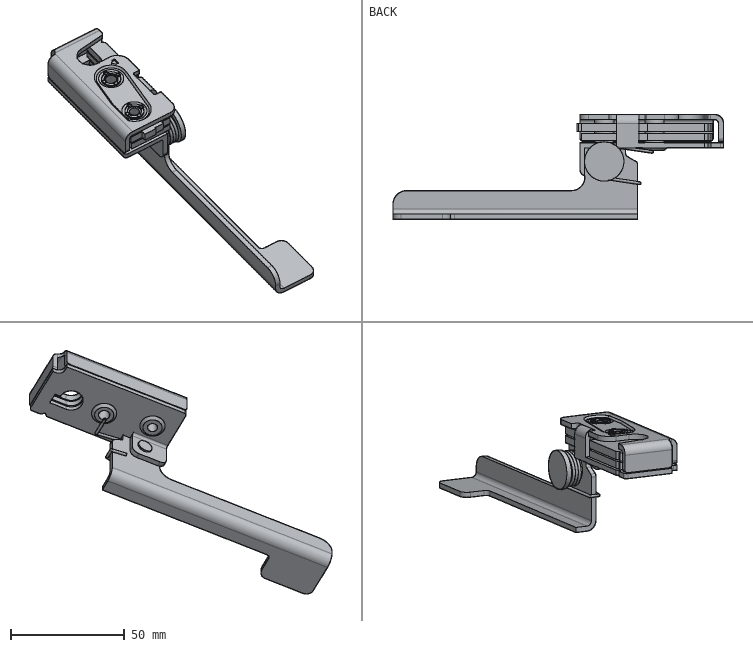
import cadquery as cq
import math


SHEET = 2.3
BEND_OUT = 4.0
BEND_IN = BEND_OUT - SHEET

TOTAL_LENGTH = 146.1
TOTAL_DEPTH = 45.0
TOTAL_HEIGHT = 46.3

BODY_LENGTH = 63.5
BODY_DEPTH = 28.5
WALL_BOTTOM_Z = 34.3
FRONT_WALL_CORNER = 1.8
LEFT_WALL_CORNER = 1.2
REAR_CORNER = 4.0
RELIEF_X = 4.5
RELIEF_Y = 5.0
BASE_RELIEF_ROUND = 3.0
COVER_RELIEF_ROUND = RELIEF_X - SHEET

BASE_BOTTOM_Z = 31.5
BASE_TOP_Z = BASE_BOTTOM_Z + SHEET
BASE_CORNER = 1.3

MOUTH_X = 14.3
MOUTH_Y = 15.8
COVER_MOUTH_R = 11.4 / 2
PLATE_MOUTH_R = 10.5 / 2
MOUTH_ROUND = 6.1
MOUTH_LIP_ROUND = 1.3
MOUTH_REAR_X = 7.0
PLATE_MOUTH_LEFT = 6.5
REAR_NOTCH_WIDTH = 2.9
REAR_NOTCH_DEPTH = 1.3

TAB_X0 = 37.4
TAB_X1 = 47.3
TAB_SLOT = 3.2
TAB_SLOT_DEPTH = 3.5
TAB_SLOT_ROUND = 0.7

RIVETS = [(30.5, 15.8, 5.0), (52.7, 12.5, 4.4)]
RIVET_COLLAR_D = 8.5
RIVET_SINK_D = 11.1
RIVET_BELOW = 1.2
BORE_MOUTH_D = 6.1
BORE_MOUTH_DEPTH = 0.6
STAKE_WIDTH = 1.6
STAKE_RADIUS = 3.8
STAKE_HEIGHT = 0.5

RECESS_R = 7.5
RECESS_DEPTH = 0.9
RECESS_FRONT_Y = 6.3
RECESS_TAPER = 45
MARK_X = 23.7
MARK_Y = 22.2
MARK_WIDTH = 2.9
MARK_LENGTH = 2.6

LOCK_LEFT = 4.8
LOCK_RIGHT = 62.8
LOCK_NARROW_REAR = 24.8
LOCK_STEP_X = 33.6
UPPER_LOCK_Z = 38.7
UPPER_LOCK_T = 3.7
UPPER_LOCK_FRONT = 3.7
LOWER_LOCK_Z = 34.8
LOWER_LOCK_T = 3.2
LOWER_LOCK_FRONT = 4.0
TRIGGER_NOSES = [(64.9, 9.6, 15.6), (64.1, 15.6, 20.3)]

LEVER_LEFT = 38.0
LEVER_FRONT = 22.8
LEVER_REAR = LEVER_FRONT + SHEET
LEVER_BEND_OUT = 4.5
LEVER_BEND_IN = LEVER_BEND_OUT - SHEET
FLANGE_REAR = 32.9
PAD_LEFT = 120.7
PAD_ROUND = 3.5
PAD_INNER_ROUND = 1.9
ARM_TOP_Z = 12.7
ARM_END_ROUND = 6.1
NECK_RIGHT = 61.4
NECK_ROUND = 5.8
SHOULDER_Z = 25.1
SHOULDER_ROUND = 1.5
HEAD_LEFT = 43.2
HEAD_BOTTOM_Z = 28.2

EAR_LEFT = 46.8
EAR_FRONT = LEVER_FRONT - SHEET
EAR_BOTTOM_Z = 19.0
EAR_ROUND = 3.2
EAR_BEND_IN = 1.2

PIVOT_X = 52.7
PIVOT_Z = 25.5
PIN_D = 6.6
PIN_FRONT = 19.7
SPOOL_D = 12.7
SPOOL_FLANGE_D = 17.4
SPOOL_FLANGE_FRONT = 31.9
SPOOL_END = 34.2

WIRE_D = 1.3
COIL_R = 7.3
COIL_PITCH = 1.5
COIL_TURNS = 3.5
COIL_START_Y = 25.9
UPPER_LEG_END_X = 31.7
UPPER_LEG_END_Z = 29.8
UPPER_LEG_END_Y = 17.1
LOWER_HOOK_X = 37.1
LOWER_HOOK_Z = 15.9
LOWER_HOOK_REAR_Y = 26.3
LOWER_TIP_X = 44.4
LOWER_TIP_Y = 22.0
LOWER_TIP_Z = 17.0


def box(x0, x1, y0, y1, z0, z1):
    """Axis-aligned box between two opposite corners."""
    return cq.Workplane("XY").box(x1 - x0, y1 - y0, z1 - z0, centered=False).translate((x0, y0, z0))


def nearest(point):
    """Selector for the edge closest to a point."""
    return cq.selectors.NearestToPointSelector(point)


def rod(start, end, diameter):
    """Round rod between two points."""
    a = cq.Vector(*start)
    span = cq.Vector(*end) - a
    return cq.Workplane(obj=cq.Solid.makeCylinder(diameter / 2, span.Length, a, span))


def along_y(diameter, y0, y1):
    """Cylinder on the pivot axis."""
    return rod((PIVOT_X, y0, PIVOT_Z), (PIVOT_X, y1, PIVOT_Z), diameter)


def corner_relief(inner_round):
    """Cutter that opens the left front corner through the full body height."""
    cutter = box(0, RELIEF_X, 0, RELIEF_Y, BASE_BOTTOM_Z, TOTAL_HEIGHT)
    return cutter.edges("|Z and >X and >Y").fillet(inner_round)


def cover_mouth():
    """Cutter for the striker mouth in the cover, open to the rear."""
    dx = MOUTH_REAR_X - MOUTH_X
    dy = BODY_DEPTH - MOUTH_Y
    angle = math.atan2(dy, dx) + math.acos(COVER_MOUTH_R / math.hypot(dx, dy))
    tangent = (MOUTH_X + COVER_MOUTH_R * math.cos(angle), MOUTH_Y + COVER_MOUTH_R * math.sin(angle))
    right = MOUTH_X + COVER_MOUTH_R
    round_x = right + MOUTH_ROUND
    round_y = BODY_DEPTH - MOUTH_ROUND
    diagonal = MOUTH_ROUND * math.sqrt(0.5)
    lip_inset = MOUTH_LIP_ROUND * (1 - math.sqrt(0.5))
    return (
        cq.Workplane("XY", origin=(0, 0, TOTAL_HEIGHT - 2 * SHEET))
        .moveTo(MOUTH_REAR_X - MOUTH_LIP_ROUND, BODY_DEPTH)
        .threePointArc(
            (MOUTH_REAR_X - lip_inset, BODY_DEPTH - lip_inset),
            (MOUTH_REAR_X, BODY_DEPTH - MOUTH_LIP_ROUND),
        )
        .lineTo(*tangent)
        .threePointArc((MOUTH_X, MOUTH_Y - COVER_MOUTH_R), (right, MOUTH_Y))
        .lineTo(right, round_y)
        .threePointArc((round_x - diagonal, round_y + diagonal), (round_x, BODY_DEPTH))
        .close()
        .extrude(3 * SHEET)
    )


def plate_mouth():
    """Cutter for the striker mouth in the base and locking plates."""
    height = TOTAL_HEIGHT - BASE_BOTTOM_Z
    circle = cq.Workplane("XY", origin=(MOUTH_X, MOUTH_Y, BASE_BOTTOM_Z)).circle(PLATE_MOUTH_R).extrude(height)
    side = box(PLATE_MOUTH_LEFT, MOUTH_X, MOUTH_Y, MOUTH_Y + PLATE_MOUTH_R, BASE_BOTTOM_Z, TOTAL_HEIGHT)
    return circle.union(side)


def rear_notch():
    """V-shaped cutter in the rear edge of the plates, below the lip of the mouth."""
    return (
        cq.Workplane("XY", origin=(0, 0, BASE_BOTTOM_Z))
        .polyline([
            (MOUTH_REAR_X - REAR_NOTCH_WIDTH / 2, BODY_DEPTH),
            (MOUTH_REAR_X, BODY_DEPTH - REAR_NOTCH_DEPTH),
            (MOUTH_REAR_X + REAR_NOTCH_WIDTH / 2, BODY_DEPTH),
        ])
        .close()
        .extrude(TOTAL_HEIGHT - SHEET - BASE_BOTTOM_Z)
    )


def recess():
    """Tapered pressed recess: a belt around both rivets with a flat front edge."""
    (x0, y0, _), (x1, y1, _) = RIVETS
    tilt = math.atan2(y1 - y0, x1 - x0)
    nx = -RECESS_R * math.sin(tilt)
    ny = RECESS_R * math.cos(tilt)
    reach = math.sqrt(RECESS_R**2 - (y1 - RECESS_FRONT_Y) ** 2)
    flat_x = x0 - nx + (RECESS_FRONT_Y - y0 + ny) / math.tan(tilt)
    return (
        cq.Workplane("XY", origin=(0, 0, TOTAL_HEIGHT))
        .moveTo(x0 + nx, y0 + ny)
        .lineTo(x1 + nx, y1 + ny)
        .threePointArc((x1 + RECESS_R, y1), (x1 + reach, RECESS_FRONT_Y))
        .lineTo(flat_x, RECESS_FRONT_Y)
        .lineTo(x0 - nx, y0 - ny)
        .threePointArc((x0 - RECESS_R, y0), (x0 + nx, y0 + ny))
        .close()
        .extrude(-RECESS_DEPTH, taper=RECESS_TAPER)
    )


def pointer_mark():
    """Small arrow-shaped pocket next to the recess."""
    half = MARK_WIDTH / 2
    return (
        cq.Workplane("XY", origin=(MARK_X, MARK_Y, TOTAL_HEIGHT))
        .polyline([
            (-half, MARK_LENGTH / 2),
            (half, MARK_LENGTH / 2),
            (half, 0),
            (0, -MARK_LENGTH / 2),
            (-half, 0),
        ])
        .close()
        .extrude(-RECESS_DEPTH)
    )


def make_cover():
    """Folded cover with left wall, front wall and rear tab."""
    shell = box(0, BODY_LENGTH, 0, BODY_DEPTH, WALL_BOTTOM_Z, TOTAL_HEIGHT)
    shell = shell.edges(">Z and (<X or <Y)").fillet(BEND_OUT)
    cavity = box(
        SHEET, BODY_LENGTH + BEND_OUT, SHEET, BODY_DEPTH + BEND_OUT, BASE_BOTTOM_Z, TOTAL_HEIGHT - SHEET
    )
    cavity = cavity.edges(">Z and (<X or <Y)").fillet(BEND_IN)
    cover = shell.cut(cavity).cut(corner_relief(COVER_RELIEF_ROUND))

    low = WALL_BOTTOM_Z - SHEET
    high = WALL_BOTTOM_Z + SHEET
    front_wall = cq.selectors.BoxSelector((0, 0, low), (2 * BODY_LENGTH, SHEET, high))
    left_wall = cq.selectors.BoxSelector((0, 0, low), (SHEET, 2 * BODY_DEPTH, high))
    cover = cover.edges("|Y").edges(front_wall).fillet(FRONT_WALL_CORNER)
    cover = cover.edges("|X").edges(left_wall).fillet(LEFT_WALL_CORNER)
    cover = cover.edges("|Z and >X and >Y").fillet(REAR_CORNER)

    cover = cover.cut(cover_mouth())
    slots = box(
        TAB_X0 - TAB_SLOT, TAB_X1 + TAB_SLOT, BODY_DEPTH - TAB_SLOT_DEPTH, BODY_DEPTH,
        BASE_TOP_Z, TOTAL_HEIGHT,
    )
    cover = cover.cut(slots.edges("|Z and <Y").fillet(TAB_SLOT_ROUND))
    return cover.union(make_rear_tab()).cut(recess()).cut(pointer_mark())


def make_rear_tab():
    """Strip of the cover folded down at the rear edge, reaching the base plate."""
    front = BODY_DEPTH - 2 * BEND_OUT
    tab = box(TAB_X0, TAB_X1, front, BODY_DEPTH, BASE_BOTTOM_Z, TOTAL_HEIGHT)
    tab = tab.edges("|X and >Z and >Y").fillet(BEND_OUT)
    inside = box(TAB_X0, TAB_X1, front, BODY_DEPTH - SHEET, BASE_BOTTOM_Z, TOTAL_HEIGHT - SHEET)
    return tab.cut(inside.edges("|X and >Z and >Y").fillet(BEND_IN))


def make_base():
    """Base plate with a hinge ear folded down in front of the lever."""
    base = box(0, BODY_LENGTH, 0, BODY_DEPTH, BASE_BOTTOM_Z, BASE_TOP_Z)
    base = base.edges("|Z and ((>X and <Y) or (<X and >Y))").fillet(BASE_CORNER)
    base = base.cut(corner_relief(BASE_RELIEF_ROUND)).cut(plate_mouth()).cut(rear_notch())
    base = base.cut(box(HEAD_LEFT, BODY_LENGTH, LEVER_FRONT, BODY_DEPTH, BASE_BOTTOM_Z, BASE_TOP_Z))

    ear = box(EAR_LEFT, BODY_LENGTH, EAR_FRONT, LEVER_FRONT, EAR_BOTTOM_Z, BASE_TOP_Z)
    ear = ear.edges("|Y and <Z").fillet(EAR_ROUND)
    gusset_y = EAR_FRONT - EAR_BEND_IN
    gusset_z = BASE_BOTTOM_Z - EAR_BEND_IN
    bend = box(EAR_LEFT, BODY_LENGTH, gusset_y, EAR_FRONT, gusset_z, BASE_BOTTOM_Z)
    bend = bend.cut(rod((EAR_LEFT, gusset_y, gusset_z), (BODY_LENGTH, gusset_y, gusset_z), 2 * EAR_BEND_IN))
    return base.union(ear).union(bend)


def make_locking_plates():
    """Two stacked locking plates, the upper one with the trigger noses."""
    plates = cq.Workplane("XY")
    stack = [
        (LOWER_LOCK_FRONT, LOWER_LOCK_Z, LOWER_LOCK_Z + LOWER_LOCK_T),
        (UPPER_LOCK_FRONT, UPPER_LOCK_Z, UPPER_LOCK_Z + UPPER_LOCK_T),
    ]
    for front, bottom, top in stack:
        plates = plates.union(box(LOCK_LEFT, LOCK_RIGHT, front, LOCK_NARROW_REAR, bottom, top))
        plates = plates.union(box(LOCK_LEFT, LOCK_STEP_X, front, BODY_DEPTH, bottom, top))
    for end, front, rear in TRIGGER_NOSES:
        plates = plates.union(box(LOCK_RIGHT, end, front, rear, UPPER_LOCK_Z, UPPER_LOCK_Z + UPPER_LOCK_T))
    open_corner = box(
        LOCK_LEFT, MOUTH_X, UPPER_LOCK_FRONT, MOUTH_Y + PLATE_MOUTH_R, BASE_TOP_Z, TOTAL_HEIGHT - SHEET
    )
    return plates.cut(open_corner).cut(plate_mouth()).cut(rear_notch())


def add_rivet(body, x, y, bore):
    """Staked hollow rivet that ties cover, locking plates and base together."""
    floor_z = TOTAL_HEIGHT - RECESS_DEPTH
    sink_r = RIVET_SINK_D / 2
    collar_r = RIVET_COLLAR_D / 2
    bottom_z = BASE_BOTTOM_Z - RIVET_BELOW
    center = cq.Workplane("XY", origin=(x, y, 0))

    sink_depth = (sink_r - collar_r) / 2
    sink = cq.Solid.makeCone(collar_r, sink_r, sink_depth, cq.Vector(x, y, floor_z - sink_depth))
    body = body.cut(cq.Workplane(obj=sink))

    body = body.union(center.workplane(offset=bottom_z).circle(collar_r).extrude(floor_z - bottom_z))
    foot = cq.Solid.makeCone(collar_r, sink_r, RIVET_BELOW, cq.Vector(x, y, bottom_z))
    body = body.union(cq.Workplane(obj=foot))
    stakes = (
        center.workplane(offset=floor_z)
        .polarArray(STAKE_RADIUS, 0, 360, 4)
        .rect(STAKE_WIDTH, STAKE_WIDTH)
        .extrude(STAKE_HEIGHT)
    )
    body = body.union(stakes)
    mouth_z = floor_z - BORE_MOUTH_DEPTH
    body = body.cut(center.workplane(offset=mouth_z).circle(BORE_MOUTH_D / 2).extrude(TOTAL_HEIGHT - mouth_z))
    return body.cut(center.workplane(offset=bottom_z).circle(bore / 2).extrude(TOTAL_HEIGHT - bottom_z))


def make_lever():
    """Angle-section trip lever: upright web, folded flange and a wide finger pad."""
    web_profile = (
        cq.Workplane("XZ", origin=(0, LEVER_FRONT, 0))
        .polyline([
            (LEVER_LEFT, 0),
            (TOTAL_LENGTH, 0),
            (TOTAL_LENGTH, ARM_TOP_Z),
            (NECK_RIGHT, ARM_TOP_Z),
            (NECK_RIGHT, BASE_BOTTOM_Z),
            (HEAD_LEFT, BASE_BOTTOM_Z),
            (HEAD_LEFT, HEAD_BOTTOM_Z),
            (LEVER_LEFT, SHOULDER_Z),
        ])
        .close()
        .extrude(-(TOTAL_DEPTH - LEVER_FRONT))
    )
    mid_y = (LEVER_FRONT + TOTAL_DEPTH) / 2
    rounded_corners = [
        (NECK_RIGHT, ARM_TOP_Z, NECK_ROUND),
        (LEVER_LEFT, SHOULDER_Z, SHOULDER_ROUND),
        (HEAD_LEFT, HEAD_BOTTOM_Z, SHOULDER_ROUND),
        (TOTAL_LENGTH, ARM_TOP_Z, ARM_END_ROUND),
    ]
    for x, z, radius in rounded_corners:
        web_profile = web_profile.edges(nearest((x, mid_y, z))).fillet(radius)

    section = box(LEVER_LEFT, TOTAL_LENGTH, LEVER_FRONT, TOTAL_DEPTH, 0, BASE_BOTTOM_Z)
    section = section.edges("|X and <Y and <Z").fillet(LEVER_BEND_OUT)
    inside = box(LEVER_LEFT, TOTAL_LENGTH, LEVER_REAR, TOTAL_DEPTH, SHEET, BASE_BOTTOM_Z)
    section = section.cut(inside.edges("|X and <Y and <Z").fillet(LEVER_BEND_IN))

    plan = (
        cq.Workplane("XY")
        .polyline([
            (LEVER_LEFT, 0),
            (TOTAL_LENGTH, 0),
            (TOTAL_LENGTH, TOTAL_DEPTH),
            (PAD_LEFT, TOTAL_DEPTH),
            (PAD_LEFT, FLANGE_REAR),
            (LEVER_LEFT, FLANGE_REAR),
        ])
        .close()
        .extrude(BASE_BOTTOM_Z)
    )
    plan = plan.edges("|Z and >Y").fillet(PAD_ROUND)
    inner = (PAD_LEFT, FLANGE_REAR, BASE_BOTTOM_Z / 2)
    plan = plan.edges(nearest(inner)).fillet(PAD_INNER_ROUND)
    return section.intersect(web_profile).intersect(plan)


def make_pivot():
    """Pivot pin with spool barrel and end flange."""
    pin = along_y(PIN_D, PIN_FRONT, LEVER_REAR)
    barrel = along_y(SPOOL_D, LEVER_REAR, SPOOL_FLANGE_FRONT)
    flange = along_y(SPOOL_FLANGE_D, SPOOL_FLANGE_FRONT, SPOOL_END)
    return pin.union(barrel).union(flange)


def wire_run(points):
    """Bent wire through the given points with rounded joints."""
    wire = cq.Workplane("XY")
    for start, end in zip(points, points[1:]):
        wire = wire.union(rod(start, end, WIRE_D))
    for point in points[1:-1]:
        wire = wire.union(cq.Workplane("XY").sphere(WIRE_D / 2).translate(point))
    return wire


def make_spring():
    """Torsion spring: coil around the spool and two hooked legs."""
    height = COIL_PITCH * COIL_TURNS
    helix = cq.Wire.makeHelix(COIL_PITCH, height, COIL_R)
    wire_section = cq.Workplane("XZ", origin=(COIL_R, 0, 0)).circle(WIRE_D / 2)
    coil = wire_section.sweep(cq.Workplane(obj=helix), isFrenet=True)
    coil = coil.rotate((0, 0, 0), (1, 0, 0), -90).rotate((0, 0, 0), (0, 1, 0), -90)
    coil = coil.translate((PIVOT_X, COIL_START_Y, PIVOT_Z))

    upper_leg = wire_run([
        (PIVOT_X, COIL_START_Y, PIVOT_Z + COIL_R),
        (UPPER_LEG_END_X, COIL_START_Y, UPPER_LEG_END_Z),
        (UPPER_LEG_END_X, UPPER_LEG_END_Y, UPPER_LEG_END_Z),
    ])
    lower_leg = wire_run([
        (PIVOT_X, COIL_START_Y + height, PIVOT_Z - COIL_R),
        (LOWER_HOOK_X, LOWER_HOOK_REAR_Y, LOWER_HOOK_Z),
        (LOWER_HOOK_X, LOWER_TIP_Y, LOWER_HOOK_Z),
        (LOWER_TIP_X, LOWER_TIP_Y, LOWER_TIP_Z),
    ])
    return coil.union(upper_leg).union(lower_leg)


body = make_cover().union(make_base()).union(make_locking_plates())
for rivet_x, rivet_y, rivet_bore in RIVETS:
    body = add_rivet(body, rivet_x, rivet_y, rivet_bore)

result = body.union(make_lever()).union(make_pivot()).union(make_spring())